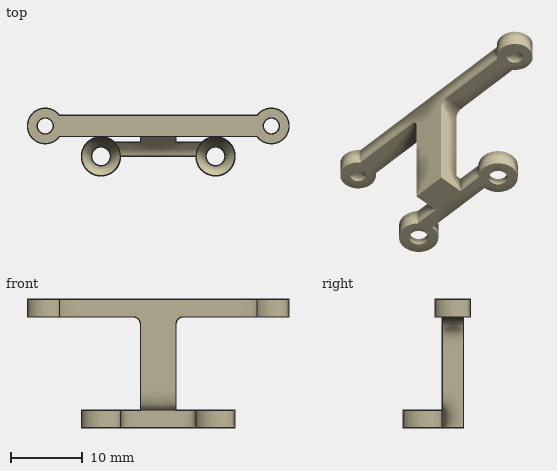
import cadquery as cq

height = 18.0
arm_thickness = 2.5

upper_hole_spacing = 31.6
upper_eyelet_diameter = 5.0
upper_hole_diameter = 2.2
upper_arm_width = 3.0

stem_width = 5.0
stem_fillet = 1.0

lower_hole_spacing = 16.0
lower_eyelet_diameter = 5.5
lower_hole_diameter = 2.6
countersink_diameter = 5.4
countersink_angle = 90.0
lower_arm_width = 2.0
lower_hole_setback = 4.25

stem_front = -upper_arm_width / 2
lower_hole_y = -lower_hole_setback
upper_arm_bottom = height - arm_thickness


def block(length, y_min, y_max, z_min, z_max):
    """Box centred on X, between the given Y and Z limits."""
    box = cq.Workplane("XY").box(length, y_max - y_min, z_max - z_min, centered=(True, False, False))
    return box.translate((0, y_min, z_min))


def end_points(spacing, y):
    """Two points placed symmetrically about the YZ plane."""
    return [(-spacing / 2, y), (spacing / 2, y)]


def disc_pair(diameter, spacing, y, z):
    """Two upright discs of arm thickness, standing on height z."""
    plane = cq.Workplane("XY", origin=(0, 0, z))
    return plane.pushPoints(end_points(spacing, y)).circle(diameter / 2).extrude(arm_thickness)


def make_upper_frame():
    """T shape of upper arm and stem, with filleted inner corners and plain eyelets."""
    arm = block(upper_hole_spacing, stem_front, -stem_front, upper_arm_bottom, height)
    stem = block(stem_width, stem_front, -stem_front, 0, height)
    inner_corners = cq.selectors.BoxSelector(
        (-stem_width, stem_front, upper_arm_bottom - stem_fillet),
        (stem_width, -stem_front, upper_arm_bottom + stem_fillet),
    )
    frame = arm.union(stem).edges("|Y").edges(inner_corners).fillet(stem_fillet)
    eyelets = disc_pair(upper_eyelet_diameter, upper_hole_spacing, 0, upper_arm_bottom)
    holes = disc_pair(upper_hole_diameter, upper_hole_spacing, 0, upper_arm_bottom)
    return frame.union(eyelets).cut(holes)


def make_lower_arm():
    """Arm with eyelets countersunk from above, and the tab joining it to the foot of the stem."""
    arm = block(lower_hole_spacing, lower_hole_y, lower_hole_y + lower_arm_width, 0, arm_thickness)
    tab = block(stem_width, lower_hole_y, stem_front, 0, arm_thickness)
    eyelets = disc_pair(lower_eyelet_diameter, lower_hole_spacing, lower_hole_y, 0)
    body = arm.union(tab).union(eyelets)
    top = body.faces(">Z").workplane(origin=(0, 0, arm_thickness))
    holes = top.pushPoints(end_points(lower_hole_spacing, lower_hole_y))
    return holes.cskHole(lower_hole_diameter, countersink_diameter, countersink_angle)


result = make_upper_frame().union(make_lower_arm())